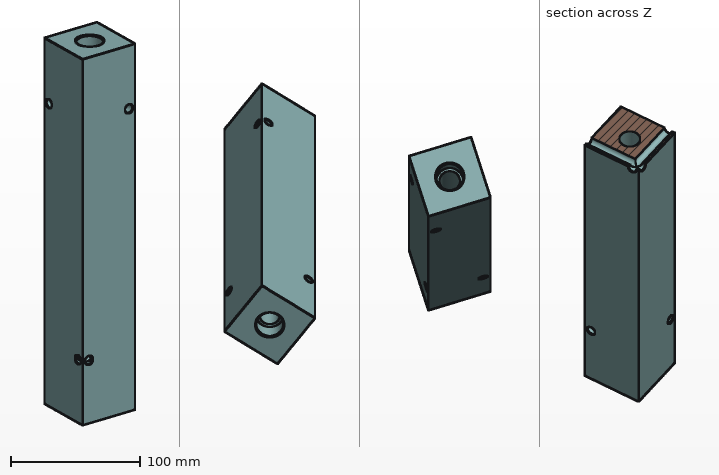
import cadquery as cq

length = 311.0
side = 50.7
edge_chamfer = 0.3

bore_diameter = 16.0
counterbore_diameter = 21.0
counterbore_depth = 14.5
counterbore_chamfer = 1.0

cross_hole_diameter = 7.0
cross_hole_chamfer = 0.47
cross_hole_from_end = 53.8
cross_hole_from_side = 6.2

hole_offset = side / 2 - cross_hole_from_side
hole_height = length / 2 - cross_hole_from_end


def make_bar():
    """Square bar centred on the origin, lightly chamfered on all edges."""
    return cq.Workplane("XY").box(side, side, length).edges().chamfer(edge_chamfer)


def make_bore():
    """Through bore along Z with a chamfered counterbore at each end."""
    radius = counterbore_diameter / 2
    top = cq.Workplane("XY", origin=(0, 0, length / 2))
    through = top.circle(bore_diameter / 2).extrude(-length)
    counterbore = top.circle(radius).extrude(-counterbore_depth)
    mouth = (
        top.circle(radius + counterbore_chamfer)
        .workplane(offset=-counterbore_chamfer)
        .circle(radius)
        .loft()
    )
    port = counterbore.union(mouth)
    return through.union(port).union(port.mirror("XY"))


def make_cross_hole(offset, height):
    """Through hole along Y at the given X and Z, chamfered at both mouths."""
    radius = cross_hole_diameter / 2
    mouth_radius = radius + cross_hole_chamfer
    half_side = side / 2
    chamfer_start = half_side - cross_hole_chamfer
    half_section = [
        (0, -half_side),
        (mouth_radius, -half_side),
        (radius, -chamfer_start),
        (radius, chamfer_start),
        (mouth_radius, half_side),
        (0, half_side),
    ]
    hole = cq.Workplane("XY").polyline(half_section).close().revolve(360, (0, 0, 0), (0, 1, 0))
    return hole.translate((offset, 0, height))


result = make_bar().cut(make_bore())

for end in (1, -1):
    hole_along_y = make_cross_hole(-end * hole_offset, end * hole_height)
    hole_along_x = hole_along_y.rotate((0, 0, 0), (0, 0, 1), -90)
    result = result.cut(hole_along_y).cut(hole_along_x)